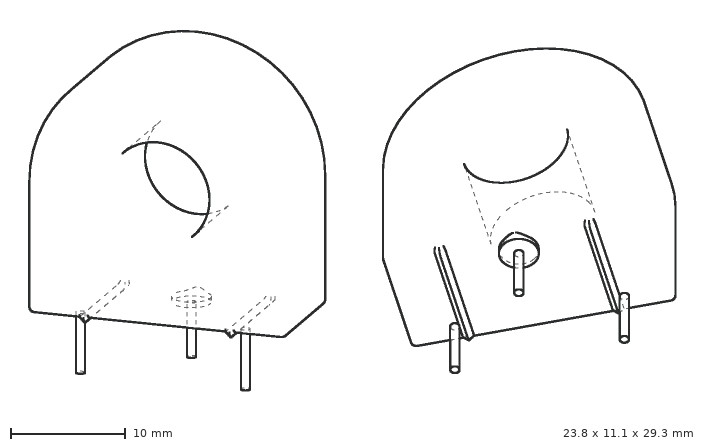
import cadquery as cq

width = 23.8
depth = 11.13
total_height = 29.3
pin_length = 5.5
edge_radius = 0.5
window_diameter = 9.5

top_radius = width / 2
window_z = total_height - top_radius

standoff_height = 0.5
ridge_x = 6.75
pad_diameter = 3.5

pin_diameter = 0.82
pin_x = 7.62
pin_y = 3.8

root_depth = 0.6

underside_z = pin_length


def make_housing():
    """Round-topped block with the 45-degree ridges running along its whole underside."""
    half_width = width / 2
    outline = cq.Workplane("XZ").moveTo(-half_width, underside_z)
    for x in (-ridge_x, ridge_x):
        outline = (
            outline.lineTo(x - standoff_height, underside_z)
            .lineTo(x, underside_z - standoff_height)
            .lineTo(x + standoff_height, underside_z)
        )
    outline = (
        outline.lineTo(half_width, underside_z)
        .lineTo(half_width, window_z)
        .threePointArc((0, total_height), (-half_width, window_z))
        .close()
    )
    block = outline.extrude(depth / 2, both=True)
    window = (
        cq.Workplane("XZ")
        .center(0, window_z)
        .circle(window_diameter / 2)
        .extrude(depth / 2, both=True)
    )
    return block.cut(window)


def round_edges(housing):
    """Round the two lower side corners, then the rims of the front and back faces."""
    housing = housing.faces("<X or >X").edges("|Y and <Z").fillet(edge_radius)
    return housing.faces("<Y or >Y").edges().fillet(edge_radius)


def make_pad():
    """Round standoff pad around the back pin, rooted inside the housing."""
    return (
        cq.Workplane("XY", origin=(0, pin_y, underside_z - standoff_height))
        .circle(pad_diameter / 2)
        .extrude(standoff_height + root_depth)
    )


def make_pins():
    """Three round pins, rooted inside the housing."""
    return (
        cq.Workplane("XY")
        .pushPoints([(-pin_x, -pin_y), (pin_x, -pin_y), (0, pin_y)])
        .circle(pin_diameter / 2)
        .extrude(pin_length + root_depth)
    )


result = round_edges(make_housing()).union(make_pad()).union(make_pins())